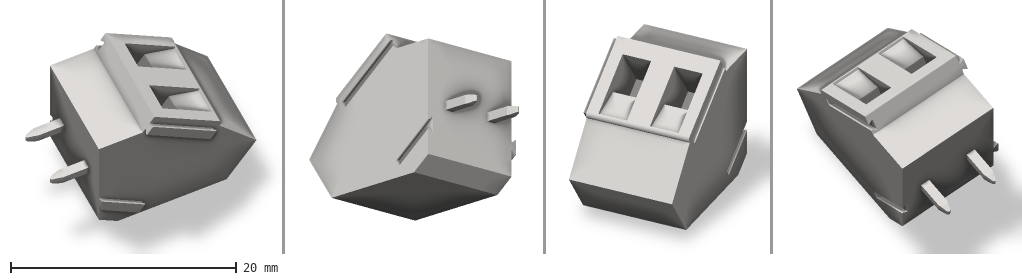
import cadquery as cq
import math


POLE_COUNT = 2
POLE_PITCH = 5.08
BODY_WIDTH = POLE_COUNT * POLE_PITCH

OVERALL_LENGTH = 19.09
PIN_LENGTH = 3.59
BODY_DEPTH = OVERALL_LENGTH - PIN_LENGTH
BODY_HEIGHT = 13.7
STEP_HEIGHT = 12.03
PEAK_Y = 5.48
TILT = math.radians(35.0)
CHAMFER_DEPTH = 1.85
UNDERSIDE_BACK_Y = 12.56
LIP_RADIUS = 0.38
LIP_TANGENT_Y = 11.85
LIP_END_ANGLE = math.radians(-58.0)

WINDOW_WIDTH = 2.8
WINDOW_TOP_Y = 6.8
WINDOW_BOTTOM_Y = 11.78
FUNNEL_WALL = 0.27
FUNNEL_TILT = math.radians(17.0)
FUNNEL_END_Y = 8.78
SHAFT_DEPTH = 4.96

DOVETAIL_HEIGHT = 0.55
DOVETAIL_NECK = 0.65
DOVETAIL_FLARE = 1.13
BEVEL_HEIGHT = 0.1
BEVEL_INSET = 0.04
UPPER_DOVETAIL_DROP = 1.25
UPPER_DOVETAIL_LENGTH = 7.64
LOWER_DOVETAIL_Z = 4.12
LOWER_DOVETAIL_LENGTH = 4.87

PIN_WIDTH = 0.9
PIN_THICKNESS = 0.82
PIN_Z = 6.22
WIDTH_TAPER_START = 2.58
THICKNESS_TAPER_START = 2.86
TIP_WIDTH = 0.38
TIP_THICKNESS = 0.53
TIP_ROUND_LENGTH = 0.17
TIP_FLAT = 0.08

CLEARANCE = 1.9


def on_slope(along, depth):
    """(y, z) of a point measured down the operating face from its peak, and into the body."""
    y = PEAK_Y + along * math.cos(TILT) - depth * math.sin(TILT)
    z = BODY_HEIGHT - along * math.sin(TILT) - depth * math.cos(TILT)
    return y, z


def slope_distance(y):
    """Distance down the operating face from the peak to the given y."""
    return (y - PEAK_Y) / math.cos(TILT)


def make_body():
    lip_distance = slope_distance(LIP_TANGENT_Y)
    lip_start = on_slope(lip_distance, 0)
    lip_y, lip_z = on_slope(lip_distance, LIP_RADIUS)
    lip_middle = (lip_y + LIP_RADIUS, lip_z)
    lip_end = (
        lip_y + LIP_RADIUS * math.cos(LIP_END_ANGLE),
        lip_z + LIP_RADIUS * math.sin(LIP_END_ANGLE),
    )
    step_y = PEAK_Y - (BODY_HEIGHT - STEP_HEIGHT) * math.tan(TILT)
    back_z = (BODY_DEPTH - UNDERSIDE_BACK_Y) / math.tan(TILT)
    return (
        cq.Workplane("YZ")
        .moveTo(0, CHAMFER_DEPTH * math.tan(TILT))
        .lineTo(CHAMFER_DEPTH, 0)
        .lineTo(UNDERSIDE_BACK_Y, 0)
        .lineTo(BODY_DEPTH, back_z)
        .lineTo(*lip_end)
        .threePointArc(lip_middle, lip_start)
        .lineTo(PEAK_Y, BODY_HEIGHT)
        .lineTo(step_y, STEP_HEIGHT)
        .lineTo(0, STEP_HEIGHT)
        .close()
        .extrude(BODY_WIDTH)
    )


def make_window(center_x):
    """Screw opening: a funnel floor below the lip, then a shaft square to the operating face."""
    top = slope_distance(WINDOW_TOP_Y)
    bottom = slope_distance(WINDOW_BOTTOM_Y)
    floor_start = on_slope(bottom, FUNNEL_WALL)
    floor_run = floor_start[0] - FUNNEL_END_Y
    floor_end = (FUNNEL_END_Y, floor_start[1] + floor_run * math.tan(FUNNEL_TILT))
    shaft = (floor_end[0] - PEAK_Y) * math.cos(TILT) + (BODY_HEIGHT - floor_end[1]) * math.sin(TILT)
    outline = [
        on_slope(top, -CLEARANCE),
        on_slope(bottom, -CLEARANCE),
        floor_start,
        floor_end,
        on_slope(shaft, SHAFT_DEPTH),
        on_slope(top, SHAFT_DEPTH),
    ]
    return (
        cq.Workplane("YZ", origin=(center_x - WINDOW_WIDTH / 2, 0, 0))
        .polyline(outline)
        .close()
        .extrude(WINDOW_WIDTH)
    )


def make_dovetail(x, start, length, lead):
    """Dovetail bar rising in +X from the plane at x: bevelled root, flare, bevelled far corners.

    It runs down the slope for length from start (y, z), and lead the opposite way.
    """
    run = cq.Vector(0, math.cos(TILT), -math.sin(TILT))
    origin = cq.Vector(x, *start) - run * lead
    plane = cq.Plane(origin=origin, xDir=(1, 0, 0), normal=run)
    neck = DOVETAIL_NECK / 2
    flare = DOVETAIL_FLARE / 2
    flare_end = DOVETAIL_HEIGHT - BEVEL_HEIGHT
    outline = [
        (0, -neck - BEVEL_INSET),
        (BEVEL_HEIGHT, -neck),
        (flare_end, -flare),
        (DOVETAIL_HEIGHT, -flare + BEVEL_INSET),
        (DOVETAIL_HEIGHT, flare - BEVEL_INSET),
        (flare_end, flare),
        (BEVEL_HEIGHT, neck),
        (0, neck + BEVEL_INSET),
    ]
    return cq.Workplane(plane).polyline(outline).close().extrude(length + lead)


def make_pin(center_x):
    """Rectangular pin along -Y: tapered in width with a rounded tip, and tapered in thickness."""
    half_width = PIN_WIDTH / 2
    half_tip = TIP_WIDTH / 2
    plan = (
        cq.Workplane("XY")
        .lineTo(half_width, 0)
        .lineTo(half_width, -WIDTH_TAPER_START)
        .lineTo(half_tip, TIP_ROUND_LENGTH - PIN_LENGTH)
        .tangentArcPoint((TIP_FLAT / 2, -PIN_LENGTH), relative=False)
        .lineTo(0, -PIN_LENGTH)
        .mirrorY()
        .extrude(PIN_THICKNESS / 2, both=True)
    )
    half_thickness = PIN_THICKNESS / 2
    half_tip_thickness = TIP_THICKNESS / 2
    side = (
        cq.Workplane("YZ")
        .polyline([
            (0, -half_thickness),
            (-THICKNESS_TAPER_START, -half_thickness),
            (-PIN_LENGTH, -half_tip_thickness),
            (-PIN_LENGTH, half_tip_thickness),
            (-THICKNESS_TAPER_START, half_thickness),
            (0, half_thickness),
        ])
        .close()
        .extrude(half_width, both=True)
    )
    return plan.intersect(side).translate((center_x, 0, PIN_Z))


body = make_body()

dovetails = [
    (on_slope(0, UPPER_DOVETAIL_DROP), UPPER_DOVETAIL_LENGTH, 0),
    ((0, LOWER_DOVETAIL_Z), LOWER_DOVETAIL_LENGTH, CLEARANCE),
]
behind_pin_face = cq.Workplane("XY").box(
    BODY_WIDTH + DOVETAIL_HEIGHT, BODY_DEPTH, BODY_HEIGHT, centered=False
)
for start, length, rail_lead in dovetails:
    groove = make_dovetail(0, start, length, CLEARANCE)
    rail = make_dovetail(BODY_WIDTH, start, length, rail_lead)
    body = body.cut(groove).union(rail.intersect(behind_pin_face))

for pole in range(POLE_COUNT):
    pole_x = (pole + 0.5) * POLE_PITCH
    body = body.cut(make_window(pole_x)).union(make_pin(pole_x))

result = body